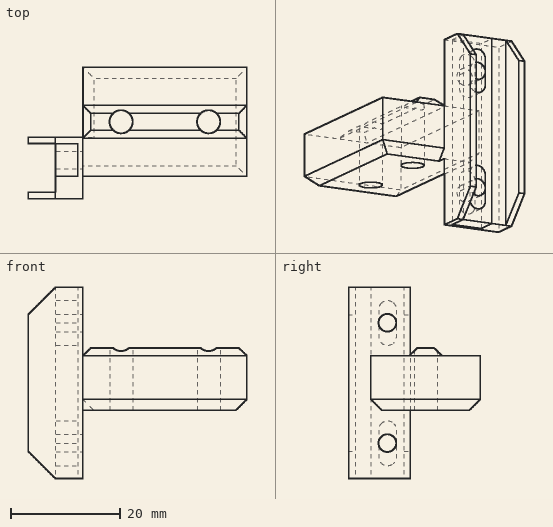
import cadquery as cq

HOUSING_HEIGHT = 35.0
HOUSING_DEPTH = 10.0
HOUSING_WIDTH = 11.3
FLANGE_THICKNESS = 1.2
FLOOR_X = HOUSING_DEPTH / 2
FLANGE_CORNER = FLOOR_X
MIDDLE_Z = HOUSING_HEIGHT / 2

ARM_LENGTH = 30.0
ARM_WIDTH = 20.0
ARM_HEIGHT = 10.0
ARM_CHAMFER = 2.0
ARM_FRONT_Y = 4.1
ARM_END_X = HOUSING_DEPTH + ARM_LENGTH
ARM_BACK_Y = ARM_FRONT_Y + ARM_WIDTH
ARM_BOTTOM_Z = MIDDLE_Z - ARM_HEIGHT / 2
ARM_TOP_Z = ARM_BOTTOM_Z + ARM_HEIGHT
ARM_MIDDLE_X = HOUSING_DEPTH + ARM_LENGTH / 2
ARM_MIDDLE_Y = ARM_FRONT_Y + ARM_WIDTH / 2
ARM_HOLE_DIAMETER = 4.2
ARM_HOLE_SPACING = 16.0

RIDGE_WIDTH = 6.0
RIDGE_HEIGHT = 1.4
RIDGE_INSET = 1.5

INSERT_WIDTH = 6.0
INSERT_DEPTH = 4.1
INSERT_BACK_Y = HOUSING_WIDTH - FLANGE_THICKNESS
INSERT_MIDDLE_Y = INSERT_BACK_Y - INSERT_WIDTH / 2

SCREW_DIAMETER = 3.2
SCREW_SPACING = 22.0
SLOT_TRAVEL = 5.0
SLOT_LENGTH = SLOT_TRAVEL + SCREW_DIAMETER


def box(x_size, y_size, z_size, corner):
    """Box with its lowest corner at the given point."""
    return cq.Workplane("XY").box(x_size, y_size, z_size, centered=False).translate(corner)


def screw_points(start_x):
    """Plane facing +X at start_x, with a point on each screw axis."""
    origin = (start_x, INSERT_MIDDLE_Y, MIDDLE_Z)
    return cq.Workplane("YZ", origin=origin).rarray(0.4, SCREW_SPACING, 1, 2)


def screw_slots():
    """Vertical round-ended slots through the depth of the insert."""
    return screw_points(FLOOR_X).slot2D(SLOT_LENGTH, SCREW_DIAMETER, 90).extrude(INSERT_DEPTH)


def make_insert():
    """Straight bar with two adjustment slots."""
    corner = (FLOOR_X, INSERT_BACK_Y - INSERT_WIDTH, 0)
    bar = box(INSERT_DEPTH, INSERT_WIDTH, HOUSING_HEIGHT, corner)
    return bar.cut(screw_slots())


def make_channel():
    """U-shaped channel whose flanges have clipped corners."""
    block = box(HOUSING_DEPTH, HOUSING_WIDTH, HOUSING_HEIGHT, (0, 0, 0))
    block = block.faces("<X").edges("|Y").chamfer(FLANGE_CORNER)
    gap_width = HOUSING_WIDTH - 2 * FLANGE_THICKNESS
    gap = box(FLOOR_X, gap_width, HOUSING_HEIGHT, (0, FLANGE_THICKNESS, 0))
    return block.cut(gap)


def make_ridge():
    """Frustum with a rectangular base, as long as the arm."""
    top_length = ARM_LENGTH - 2 * RIDGE_INSET
    top_width = RIDGE_WIDTH - 2 * RIDGE_INSET
    base = cq.Workplane("XY", origin=(ARM_MIDDLE_X, ARM_MIDDLE_Y, ARM_TOP_Z)).rect(ARM_LENGTH, RIDGE_WIDTH)
    return base.workplane(offset=RIDGE_HEIGHT).rect(top_length, top_width).loft(ruled=True)


def make_arm():
    """Block with chamfered lower edges, a ridge on top and two bolt holes."""
    arm = box(ARM_LENGTH, ARM_WIDTH, ARM_HEIGHT, (HOUSING_DEPTH, ARM_FRONT_Y, ARM_BOTTOM_Z))
    arm = arm.edges("<Z and (>X or <Y or >Y)").chamfer(ARM_CHAMFER)

    edge_chamfer = (
        cq.Workplane("XZ", origin=(HOUSING_DEPTH, ARM_BACK_Y, ARM_BOTTOM_Z))
        .polyline([(0, 0), (ARM_CHAMFER, 0), (0, ARM_CHAMFER)])
        .close()
        .extrude(ARM_BACK_Y - HOUSING_WIDTH)
    )
    bolt_holes = (
        cq.Workplane("XY", origin=(ARM_MIDDLE_X, ARM_MIDDLE_Y, ARM_BOTTOM_Z))
        .rarray(ARM_HOLE_SPACING, 0.4, 2, 1)
        .circle(ARM_HOLE_DIAMETER / 2)
        .extrude(ARM_HEIGHT + RIDGE_HEIGHT)
    )
    return arm.cut(edge_chamfer).union(make_ridge()).cut(bolt_holes)


def make_housing(insert):
    """Channel and arm in one piece, with a recess that fits the insert."""
    screw_holes = screw_points(FLOOR_X).circle(SCREW_DIAMETER / 2).extrude(HOUSING_DEPTH - FLOOR_X)
    return make_channel().union(make_arm()).cut(insert).cut(screw_holes)


insert = make_insert()
housing = make_housing(insert)

result = cq.Compound.makeCompound([housing.val(), insert.val()])